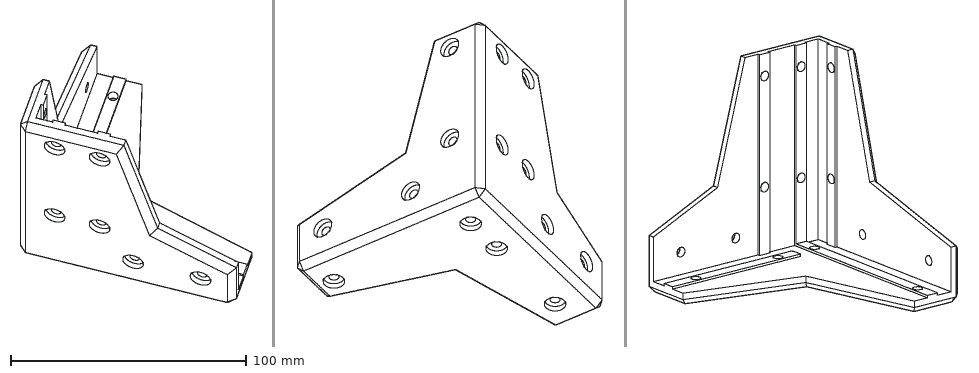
import cadquery as cq

size = 96.0
wall = 6.0
edge_chamfer = 3.2

tip_width = 26.0
knee = 40.9
front_top_width = 46.0
front_knee_x = 61.0

hole_diameter = 4.2
bore_diameter = 9.1
bore_depth = 2.5
near_hole = 16.1
middle_hole = 36.1
far_hole = 80.9
end_hole = 85.9
front_arm_hole = 51.0

rib_width = 5.6
rib_height = 1.1
short_rib_start = 26.0

front_plane = cq.Plane(origin=(0, 0, 0), xDir=(1, 0, 0), normal=(0, -1, 0))
left_plane = cq.Plane(origin=(0, 0, 0), xDir=(0, -1, 0), normal=(-1, 0, 0))
bottom_plane = cq.Plane(origin=(0, 0, 0), xDir=(1, 0, 0), normal=(0, 0, -1))


def plate(plane, end_width, knee_u, u_sign, v_sign):
    """L-shaped plate with tapering arms, thickened inward from its outer face."""
    outline = [
        (0, 0),
        (size, 0),
        (size, tip_width),
        (knee_u, knee),
        (end_width, size),
        (0, size),
    ]
    points = [(u_sign * u, v_sign * v) for u, v in outline]
    return cq.Workplane(plane).polyline(points).close().extrude(-wall)


def screw_holes(plane, centers, u_sign, v_sign):
    """Through holes counterbored from the outer face."""
    points = [(u_sign * u, v_sign * v) for u, v in centers]
    depth = wall + rib_height
    holes = cq.Workplane(plane).pushPoints(points).circle(hole_diameter / 2).extrude(-depth)
    bores = cq.Workplane(plane).pushPoints(points).circle(bore_diameter / 2).extrude(-bore_depth)
    return holes.union(bores)


def block(x_range, y_range, z_range):
    """Axis-aligned box between the given limits."""
    lows, highs = zip(x_range, y_range, z_range)
    lengths = [high - low for low, high in zip(lows, highs)]
    return cq.Workplane("XY").box(*lengths, centered=False).translate(lows)


body = (
    plate(front_plane, front_top_width, front_knee_x, 1, 1)
    .union(plate(left_plane, tip_width, knee, -1, 1))
    .union(plate(bottom_plane, tip_width, knee, 1, -1))
)
body = body.faces("<X or <Y or <Z").edges().chamfer(edge_chamfer)

rib_span = (edge_chamfer, wall + rib_height)
near_band = (near_hole - rib_width / 2, near_hole + rib_width / 2)
middle_band = (middle_hole - rib_width / 2, middle_hole + rib_width / 2)
long_run = (wall, size)
short_run = (short_rib_start, size)

ribs = [
    block(near_band, rib_span, long_run),
    block(middle_band, rib_span, long_run),
    block(rib_span, near_band, long_run),
    block(near_band, long_run, rib_span),
    block(short_run, near_band, rib_span),
]
for rib in ribs:
    body = body.union(rib)

front_holes = [
    (near_hole, end_hole),
    (middle_hole, end_hole),
    (near_hole, middle_hole),
    (middle_hole, middle_hole),
    (front_arm_hole, near_hole),
    (far_hole, near_hole),
]
left_holes = [
    (near_hole, end_hole),
    (near_hole, middle_hole),
    (middle_hole, near_hole),
    (far_hole, near_hole),
]
bottom_holes = [
    (near_hole, near_hole),
    (near_hole, end_hole),
    (middle_hole, near_hole),
    (far_hole, near_hole),
]
result = (
    body.cut(screw_holes(front_plane, front_holes, 1, 1))
    .cut(screw_holes(left_plane, left_holes, -1, 1))
    .cut(screw_holes(bottom_plane, bottom_holes, 1, -1))
)